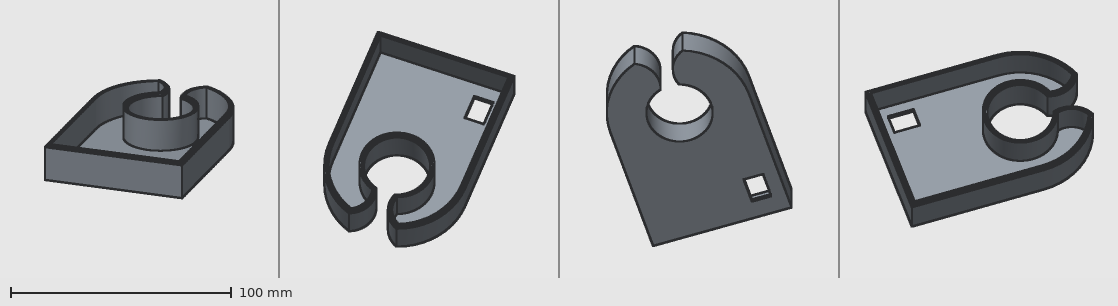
import cadquery as cq
import math

width = 66.0
length = 93.95
height = 17.0

wall = 2.0
floor = 2.0
rim_step_width = 1.0
rim_step_height = 1.0

end_radius = width / 2
hole_radius = 15.0
straight_length = 63.0
bottom_y = -straight_length

tip_y = length - straight_length
tip_x = math.sqrt(end_radius**2 - tip_y**2)

mouth_gap = 7.1
lip_radius = 13.0
lip_center_x = mouth_gap / 2 + lip_radius
lip_center_y = tip_y - math.sqrt(lip_radius**2 - (lip_center_x - tip_x) ** 2)

window_width = 9.2
window_length = 12.2
window_left_x = -26.0
window_bottom_y = bottom_y + 8.5


def lip_crossing(circle_radius, radius_of_lip):
    """Point on the mouth side where a circle about the origin meets the right lip circle."""
    distance = math.hypot(lip_center_x, lip_center_y)
    along = (circle_radius**2 + distance**2 - radius_of_lip**2) / (2 * distance)
    across = math.sqrt(circle_radius**2 - along**2)
    x = (along * lip_center_x - across * lip_center_y) / distance
    y = (along * lip_center_y + across * lip_center_x) / distance
    return x, y


def inset_prism(inset, bottom_z, top_z):
    """Prism over the body outline, with every edge of the outline moved inwards by inset."""
    outer = end_radius - inset
    hole = hole_radius + inset
    lip = lip_radius - inset
    diagonal = outer * math.sin(math.radians(45))
    end_x, end_y = lip_crossing(outer, lip)
    corner_x, corner_y = lip_crossing(hole, lip)
    lip_x = lip_center_x - lip
    return (
        cq.Workplane("XY", origin=(0, 0, bottom_z))
        .moveTo(-outer, bottom_y + inset)
        .lineTo(outer, bottom_y + inset)
        .lineTo(outer, 0)
        .threePointArc((diagonal, diagonal), (end_x, end_y))
        .threePointArc((lip_x, lip_center_y), (corner_x, corner_y))
        .threePointArc((0, -hole), (-corner_x, corner_y))
        .threePointArc((-lip_x, lip_center_y), (-end_x, end_y))
        .threePointArc((-diagonal, diagonal), (-outer, 0))
        .close()
        .extrude(top_z - bottom_z)
    )


def window_cutter():
    """Block that cuts the window through the floor."""
    return (
        cq.Workplane("XY", origin=(window_left_x, window_bottom_y, 0))
        .rect(window_width, window_length, centered=False)
        .extrude(floor)
    )


body = inset_prism(0, 0, height - rim_step_height)
rim = inset_prism(rim_step_width, floor, height)
pocket = inset_prism(wall, floor, height)

result = body.union(rim).cut(pocket).cut(window_cutter())